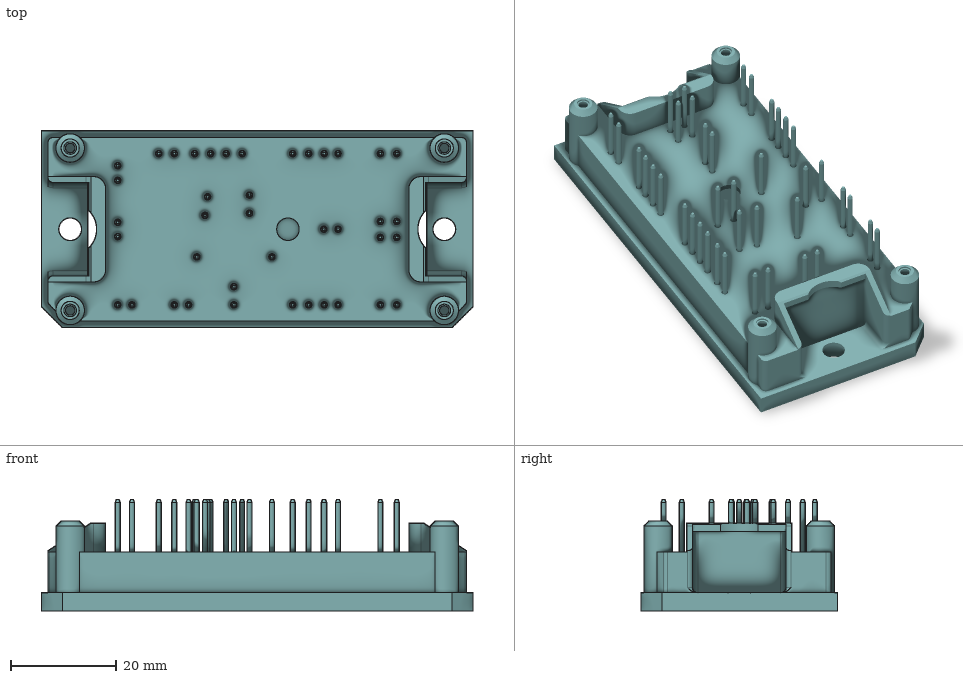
import cadquery as cq
import math

length = 82.0
width = 37.4
height = 21.2

plate_height = 3.5
plate_chamfer = 4.0
mount_hole_diameter = 4.3
mount_x = 35.5

body_length = 79.45
body_width = 34.85
body_top = 11.2
body_chamfer = 3.4
body_corner_radius = 1.0
dimple_diameter = 4.3
dimple_depth = 1.0
dimple_x = 5.8

post_y = 15.4
post_diameter = 5.4
post_top = 17.1
post_chamfer = 1.0
post_hole_diameter = 2.4
post_hole_depth = 0.3
post_bore_diameter = 1.8
post_bore_depth = 4.9

hood_width = 20.0
hood_top = 16.7
hood_inner_x = -28.8
hood_corner_radius = 2.3
hood_flat_x = -31.6
ramp_break_x = -32.5
ramp_break_z = 16.15
ramp_end_z = 11.5

pocket_width = 17.7
pocket_top = 15.2
pocket_back_x = -30.25
pocket_back_radius = 1.0
pocket_mouth_radius = 1.0
lip_x = -32.0
floor_edge_x = -32.15
floor_fillet = 1.0
screw_clearance_radius = 5.0

pin_diameter = 1.0
pin_tip_diameter = 0.5
pin_tip_height = 0.6
pin_socket_diameter = 1.2
pin_socket_depth = 0.5
row_y = 14.35
right_row_x = [6.7, 9.75, 12.7, 15.3, 23.4, 26.5]
back_row_x = [-18.7, -15.75, -11.9, -8.85, -5.9, -2.9] + right_row_x
front_row_x = [-26.5, -23.8, -15.75, -13.0, -4.4] + right_row_x
left_column_x = -26.5
left_column_y = [12.05, 9.3, 1.3, -1.4]
inner_pins = [
    (-9.4, 6.15), (-9.9, 2.6), (-11.5, -5.25), (-1.5, 6.5), (-1.5, 3.0), (-4.4, -10.9),
    (2.8, -5.25), (12.6, 0), (15.3, 0),
    (23.4, 1.5), (26.5, 1.5), (23.4, -1.55), (26.5, -1.55),
]

body_end_x = -body_length / 2


def both_ends(shape):
    """Join a -X end feature with its mirror image at the +X end."""
    return shape.union(shape.mirror("YZ"))


def base_plate():
    return (
        cq.Workplane("XY")
        .box(length, width, plate_height, centered=(True, True, False))
        .edges("|Z and <Y")
        .chamfer(plate_chamfer)
    )


def body():
    return (
        cq.Workplane("XY", origin=(0, 0, plate_height))
        .box(body_length, body_width, body_top - plate_height, centered=(True, True, False))
        .edges("|Z and <Y")
        .chamfer(body_chamfer)
        .edges("|Z")
        .fillet(body_corner_radius)
    )


def hood():
    """Solid hood: side profile with the ramp, rounded at its inner corners."""
    return (
        cq.Workplane("XZ")
        .moveTo(body_end_x, plate_height)
        .lineTo(hood_inner_x, plate_height)
        .lineTo(hood_inner_x, hood_top)
        .lineTo(hood_flat_x, hood_top)
        .lineTo(ramp_break_x, ramp_break_z)
        .lineTo(body_end_x, ramp_end_z)
        .close()
        .extrude(hood_width / 2, both=True)
        .edges("|Z and >X")
        .fillet(hood_corner_radius)
    )


def pocket_outline(start_z):
    """Plan of the pocket: flared round mouth and rounded back corners."""
    half = pocket_width / 2
    mouth_half = half + pocket_mouth_radius
    mouth_x = body_end_x + pocket_mouth_radius
    back_half = half - pocket_back_radius
    side_end_x = pocket_back_x - pocket_back_radius
    return (
        cq.Workplane("XY", origin=(0, 0, start_z))
        .moveTo(body_end_x, -mouth_half)
        .radiusArc((mouth_x, -half), pocket_mouth_radius)
        .lineTo(side_end_x, -half)
        .radiusArc((pocket_back_x, -back_half), -pocket_back_radius)
        .lineTo(pocket_back_x, back_half)
        .radiusArc((side_end_x, half), -pocket_back_radius)
        .lineTo(mouth_x, half)
        .radiusArc((body_end_x, mouth_half), pocket_mouth_radius)
        .close()
    )


def block(x_start, x_end, z_start, z_end):
    """Block across the full width of the part."""
    return cq.Workplane("XY", origin=(x_start, 0, z_start)).box(
        x_end - x_start, width, z_end - z_start, centered=(False, True, False)
    )


def pocket():
    """Pocket under the lip, its open top, the screw head relief and the slot in the plate."""
    below_lip = pocket_outline(plate_height).extrude(pocket_top - plate_height)
    above = pocket_outline(plate_height).extrude(height - plate_height)
    open_top = above.intersect(block(body_end_x, lip_x, plate_height, height))
    relief = (
        cq.Workplane("XY", origin=(-mount_x, 0, plate_height))
        .circle(screw_clearance_radius)
        .extrude(height - plate_height)
    ).intersect(block(body_end_x, 0, plate_height, height))
    slot = pocket_outline(0).extrude(plate_height).intersect(block(floor_edge_x, 0, 0, plate_height))
    return below_lip.union(open_top).union(relief).union(slot)


def floor_fillets():
    """Concave fillets along the pocket sides that bend round the mouth, cut flush with the body end."""
    half = pocket_width / 2
    start_x = body_end_x + pocket_mouth_radius

    def profile(plane):
        return (
            cq.Workplane(plane, origin=(start_x, half, plate_height))
            .lineTo(-floor_fillet, 0)
            .radiusArc((0, floor_fillet), -floor_fillet)
            .close()
        )

    straight = profile("YZ").extrude(floor_edge_x - start_x)
    bend = profile("YZ").revolve(90, (pocket_mouth_radius, 0, 0), (pocket_mouth_radius, -1, 0))
    bend = bend.intersect(block(body_end_x, 0, plate_height, body_top))
    side = straight.union(bend)
    return side.union(side.mirror("XZ"))


def post_points():
    return [(x, y) for x in (-mount_x, mount_x) for y in (-post_y, post_y)]


def posts():
    return (
        cq.Workplane("XY", origin=(0, 0, plate_height))
        .pushPoints(post_points())
        .circle(post_diameter / 2)
        .extrude(post_top - plate_height)
        .faces(">Z")
        .chamfer(post_chamfer)
    )


def hole(points, diameter, z_top, depth):
    return (
        cq.Workplane("XY", origin=(0, 0, z_top))
        .pushPoints(points)
        .circle(diameter / 2)
        .extrude(-depth)
    )


def pin_points():
    points = [(x, row_y) for x in back_row_x]
    points += [(x, -row_y) for x in front_row_x]
    points += [(left_column_x, y) for y in left_column_y]
    return points + inner_pins


def pins():
    """Contact pins with tapered tips, rising from the bottoms of their sockets."""
    foot_z = body_top - pin_socket_depth
    shaft = (
        cq.Workplane("XY", origin=(0, 0, foot_z))
        .pushPoints(pin_points())
        .circle(pin_diameter / 2)
        .extrude(height - pin_tip_height - foot_z)
    )
    taper_angle = math.degrees(math.atan((pin_diameter - pin_tip_diameter) / 2 / pin_tip_height))
    tips = (
        cq.Workplane("XY", origin=(0, 0, height - pin_tip_height))
        .pushPoints(pin_points())
        .circle(pin_diameter / 2)
        .extrude(pin_tip_height, taper=taper_angle)
    )
    return shaft.union(tips)


housing = base_plate().union(body()).union(both_ends(hood()))
housing = housing.cut(both_ends(pocket())).union(both_ends(floor_fillets())).union(posts())
housing = housing.cut(hole([(-mount_x, 0), (mount_x, 0)], mount_hole_diameter, plate_height, plate_height))
housing = housing.cut(hole(post_points(), post_hole_diameter, post_top, post_hole_depth))
housing = housing.cut(hole(post_points(), post_bore_diameter, post_top, post_bore_depth))
housing = housing.cut(hole([(dimple_x, 0)], dimple_diameter, body_top, dimple_depth))
housing = housing.cut(hole(pin_points(), pin_socket_diameter, body_top, pin_socket_depth))
result = housing.union(pins())